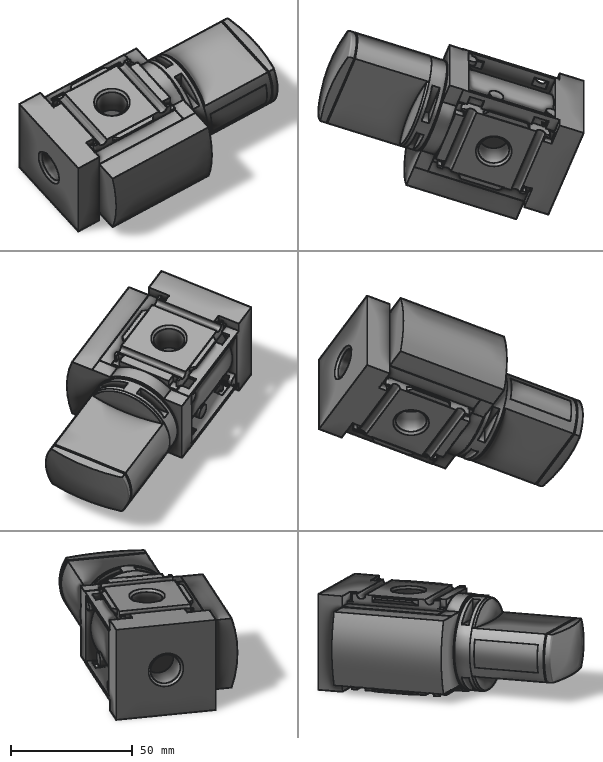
import cadquery as cq


body_half_width = 21.06
body_half_height = 20.1
base_rear = 10.6
plate_front = 52.6
body_rear = 58.6
port_center_y = (base_rear + plate_front) / 2

shelf_half_height = 15.7
end_plate_half_height = 15.5
end_plate_barrel_radius = 20.0

block_half_width = 15.1
rail_half_width = 11.6
corner_floor_z = 16.7
corner_notch_length = 3.9
hook_thickness = 0.4
hook_post_width = 1.0
hook_post_length = 2.2
hook_fillet = 0.7
groove_offset = 15.0
groove_radius = 1.91

flange_overhang = 2.2
flange_top_z = 19.8
flange_edge_z = 18.9
flange_root_z = 17.3
flange_root_half_length = 10.1
flange_tip_half_length = 8.3

port_diameter = 12.6
port_chamfer = 1.0
port_depth = 12.4

window_front = 12.4
window_rear = 50.2
window_half_height = 14.5
window_floor_x = -10.4
core_radius = 19.0
pin_diameter = 6.1
pin_y = 37.4
pin_z = -8.5
pin_end_x = -19.0
lug_end_x = -20.7
lug_radius = 2.2
lug_neck = 1.7
lug_center_z = 11.0
slot_outer_x = -18.8
slot_length = 6.1
slot_center_offset = 14.1

gauge_half_height = 15.4
gauge_edge_x = 30.4
gauge_crown_x = 32.96

neck_radius = 19.1
ring_radius = 19.41
ring_front = 59.1
ring_rear = 65.8
shoulder_radius = 18.9
shoulder_y = 66.8
dome_mid_radius = 10.1
dome_mid_y = 68.4
dome_top_y = 68.9
notch_inner_x = 3.0
notch_floor_z = 11.1
notch_front = 61.0
notch_rear = 64.2

grip_radius = 19.5
grip_half_height = 10.1
grip_end = 103.5
crown_radius = 80.7
crown_edge_fillet = 0.8
seam_front = 98.1
seam_rear = 98.5
seam_depth = 0.3
panel_front = 67.8
panel_rear = 95.5
panel_half_height = 5.9
panel_height = 0.1


def box(x0, x1, y0, y1, z0, z1):
    """Box between two opposite corners."""
    return cq.Workplane("XY").box(x1 - x0, y1 - y0, z1 - z0, centered=False).translate((x0, y0, z0))


def y_cylinder(radius, y0, y1):
    """Cylinder on the knob axis from y0 to y1."""
    return cq.Workplane("XZ", origin=(0, y0, 0)).circle(radius).extrude(y0 - y1)


def both_ends(solid):
    """Solid together with its mirror image about the middle of the port block."""
    return solid.union(solid.mirror("XZ", (0, port_center_y, 0)))


def both_sides(solid):
    """Solid together with its mirror image about X = 0."""
    return solid.union(solid.mirror("YZ"))


def top_and_bottom(solid):
    """Solid together with its mirror image about Z = 0."""
    return solid.union(solid.mirror("XY"))


def body_core():
    """Front base, shelves and rear end plate with its barrel-shaped middle."""
    w = body_half_width
    base = box(-w, w, 0, base_rear, -body_half_height, body_half_height)
    shelves = box(-w, w, base_rear, plate_front, -shelf_half_height, shelf_half_height)
    plate = box(-w, w, plate_front, body_rear, -end_plate_half_height, end_plate_half_height)
    barrel = y_cylinder(end_plate_barrel_radius, plate_front, body_rear)
    return base.union(shelves).union(plate).union(barrel)


def corner_notch():
    """Cutter for one rear corner of the port block, leaving the L-shaped hook."""
    y0 = plate_front - corner_notch_length
    notch = box(-block_half_width, -rail_half_width, y0 + hook_thickness, plate_front,
                corner_floor_z, body_half_height)
    post = box(-block_half_width, hook_post_width - block_half_width, y0, y0 + hook_post_length,
               corner_floor_z, body_half_height)
    post = post.edges("|Z and <X and >Y").fillet(hook_fillet)
    return notch.cut(post)


def flange():
    """Wedge on the -X side of the port block, with slanted ends."""
    root_x = -block_half_width
    tip_x = root_x - flange_overhang
    section = (
        cq.Workplane("XZ", origin=(0, port_center_y, 0))
        .polyline([(root_x, flange_root_z), (root_x, flange_top_z),
                   (tip_x, flange_top_z), (tip_x, flange_edge_z)])
        .close()
        .extrude(flange_root_half_length, both=True)
    )
    outline = (
        cq.Workplane("XY", origin=(0, port_center_y, 0))
        .polyline([(root_x, -flange_root_half_length), (root_x, flange_root_half_length),
                   (tip_x, flange_tip_half_length), (tip_x, -flange_tip_half_length)])
        .close()
        .extrude(body_half_height)
    )
    return section.intersect(outline)


def port_block():
    """Raised block on top with grooves, corner hooks and flanges."""
    block = box(-block_half_width, block_half_width, base_rear, plate_front,
                window_half_height, body_half_height)
    groove = (
        cq.Workplane("YZ", origin=(-block_half_width, port_center_y + groove_offset, body_half_height))
        .circle(groove_radius)
        .extrude(2 * block_half_width)
    )
    block = block.cut(both_ends(groove))
    block = block.cut(both_ends(both_sides(corner_notch())))
    return block.union(both_sides(flange()))


def port(plane, origin):
    """Cutter for a blind port with a chamfered mouth, bored against the plane normal."""
    bore = cq.Workplane(plane, origin=origin).circle(port_diameter / 2).extrude(-port_depth)
    mouth = (
        cq.Workplane(plane, origin=origin)
        .circle(port_diameter / 2 + port_chamfer)
        .workplane(offset=-port_chamfer)
        .circle(port_diameter / 2)
        .loft()
    )
    return bore.union(mouth)


def window():
    """Cutter for the -X window, leaving the core, its pin and two lugs."""
    cavity = box(-body_half_width, window_floor_x, window_front, window_rear,
                 -window_half_height, window_half_height)
    core = y_cylinder(core_radius, window_front, window_rear)
    pin = (
        cq.Workplane("YZ", origin=(pin_end_x, pin_y, pin_z))
        .circle(pin_diameter / 2)
        .extrude(window_floor_x - pin_end_x)
    )
    lug_y = window_rear - lug_neck
    lug_neck_block = box(lug_end_x, window_floor_x, lug_y, window_rear,
                         lug_center_z - lug_radius, window_half_height)
    lug_round = (
        cq.Workplane("YZ", origin=(lug_end_x, lug_y, lug_center_z))
        .circle(lug_radius)
        .extrude(window_floor_x - lug_end_x)
    )
    rear_lug = lug_neck_block.union(lug_round)
    middle_y = (window_front + window_rear) / 2
    front_lug = rear_lug.rotate((0, middle_y, 0), (1, middle_y, 0), 180)
    return cavity.cut(core).cut(pin).cut(rear_lug).cut(front_lug)


def shelf_slot():
    """Cutter for the rear slot through the top -X shelf."""
    y0 = port_center_y + slot_center_offset - slot_length / 2
    slot = box(slot_outer_x, -block_half_width, y0, y0 + slot_length, 0, shelf_half_height)
    return slot.cut(y_cylinder(core_radius, base_rear, plate_front))


def gauge():
    """Gauge housing with an arched outer face."""
    return (
        cq.Workplane("XZ", origin=(0, base_rear, 0))
        .moveTo(0, -gauge_half_height)
        .lineTo(gauge_edge_x, -gauge_half_height)
        .threePointArc((gauge_crown_x, 0), (gauge_edge_x, gauge_half_height))
        .lineTo(0, gauge_half_height)
        .close()
        .extrude(base_rear - body_rear)
    )


def knob_ring():
    """Round neck, ring and domed shoulder with four corner notches."""
    ring = (
        cq.Workplane("XY")
        .moveTo(0, body_rear)
        .lineTo(neck_radius, body_rear)
        .lineTo(neck_radius, ring_front)
        .lineTo(ring_radius, ring_front)
        .lineTo(ring_radius, ring_rear)
        .lineTo(shoulder_radius, shoulder_y)
        .threePointArc((dome_mid_radius, dome_mid_y), (0, dome_top_y))
        .close()
        .revolve(360, (0, 0, 0), (0, 1, 0))
    )
    notch = box(notch_inner_x, ring_radius, notch_front, notch_rear, notch_floor_z, ring_radius)
    return ring.cut(top_and_bottom(both_sides(notch)))


def knob_grip():
    """Flat-sided round grip with a crowned end, a seam and a raised panel on the +X side."""
    r = grip_radius
    grip = y_cylinder(r, ring_rear, grip_end)
    crown = cq.Workplane("XY").sphere(crown_radius).translate((0, grip_end - crown_radius, 0))
    grip = grip.intersect(crown).edges(">Y").fillet(crown_edge_fillet)
    grip = grip.intersect(box(-r, r, ring_rear, grip_end, -grip_half_height, grip_half_height))
    seam = box(-r, r, seam_front, seam_rear, -grip_half_height, grip_half_height)
    inner_height = grip_half_height - seam_depth
    seam_core = y_cylinder(r - seam_depth, seam_front, seam_rear).intersect(
        box(-r, r, seam_front, seam_rear, -inner_height, inner_height))
    panel = y_cylinder(r + panel_height, panel_front, panel_rear).intersect(
        box(0, r + panel_height, panel_front, panel_rear, -panel_half_height, panel_half_height))
    return grip.cut(seam.cut(seam_core)).union(panel)


body = body_core().union(top_and_bottom(port_block())).union(gauge())
body = body.cut(window()).cut(top_and_bottom(both_ends(shelf_slot())))
body = body.cut(port("XZ", (0, 0, 0)))
body = body.cut(top_and_bottom(port("XY", (0, port_center_y, body_half_height))))
result = body.union(knob_ring()).union(knob_grip())